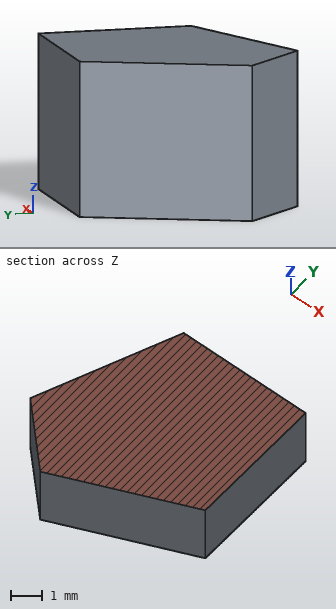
import cadquery as cq

length_x = 7.1
width_y = 7.13
height = 5.0

square_edge = height

top_left_x = length_x - square_edge
right_bottom_y = width_y - square_edge
bottom_corner_x = top_left_x
left_corner_y = 2.05

outline = [
    (length_x, width_y),
    (top_left_x, width_y),
    (0, left_corner_y),
    (bottom_corner_x, 0),
    (length_x, right_bottom_y),
]

result = cq.Workplane("XY").polyline(outline).close().extrude(height)